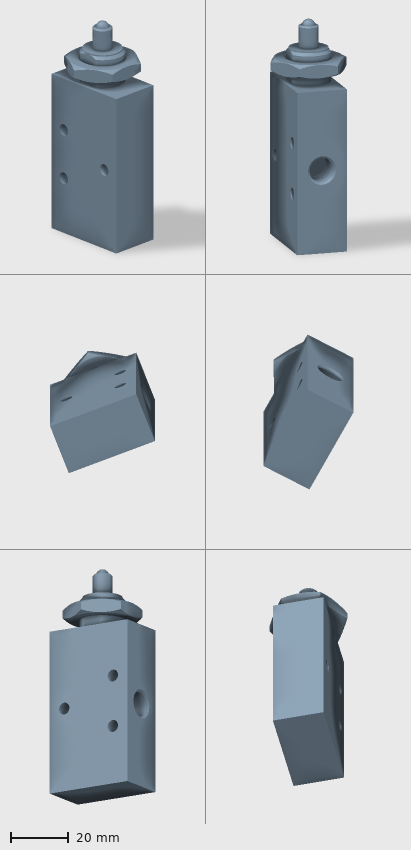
import cadquery as cq
import math

BODY_LENGTH = 32.0
BODY_WIDTH = 18.0
BODY_HEIGHT = 58.0

HOLE_DIAMETER = 4.2
HOLE_OFFSET_X = 10.0
HOLE_OFFSET_Z = 9.0
PORT_HEIGHT = 29.6
PORT_DIAMETER = 8.6
PORT_MOUTH_DIAMETER = 10.2
PORT_CHAMFER = (PORT_MOUTH_DIAMETER - PORT_DIAMETER) / 2
PORT_DEPTH = 10.0

COLLAR_DIAMETER = 16.0
COLLAR_ACROSS_FLATS = 14.0
COLLAR_HEIGHT = 12.0
COLLAR_CHAMFER_HEIGHT = 1.0
COLLAR_RIM_HEIGHT = 0.5
COLLAR_TOP = BODY_HEIGHT + COLLAR_HEIGHT

PLUNGER_DIAMETER = 7.0
PLUNGER_CHAMFER = 0.5
DOME_RADIUS = 2.4
DOME_HEIGHT = 2.0
TOTAL_HEIGHT = 80.0
PLUNGER_TOP = TOTAL_HEIGHT - DOME_HEIGHT

NUT_ACROSS_FLATS = 24.0
HEX_HALF_ANGLE = 30.0
NUT_ACROSS_CORNERS = NUT_ACROSS_FLATS / math.cos(math.radians(HEX_HALF_ANGLE))
NUT_THICKNESS = 5.0
NUT_BOTTOM = 61.5
NUT_FACE_DIAMETER = 23.8
NUT_CHAMFER_ANGLE = 30.0
NUT_MOUTH_DIAMETER = 16.6
NUT_MOUTH_ANGLE = 45.0


def make_block():
    """Plain block with three mounting holes along Y and a blind port along X."""
    block = cq.Workplane("XY").box(BODY_LENGTH, BODY_WIDTH, BODY_HEIGHT, centered=(True, True, False))
    hole_centres = [
        (-HOLE_OFFSET_X, PORT_HEIGHT + HOLE_OFFSET_Z),
        (-HOLE_OFFSET_X, PORT_HEIGHT - HOLE_OFFSET_Z),
        (HOLE_OFFSET_X, PORT_HEIGHT),
    ]
    holes = (
        cq.Workplane("XZ")
        .pushPoints(hole_centres)
        .circle(HOLE_DIAMETER / 2)
        .extrude(BODY_WIDTH / 2, both=True)
    )
    port = (
        cq.Workplane("XZ", origin=(-BODY_LENGTH / 2, 0, PORT_HEIGHT))
        .moveTo(0, 0)
        .lineTo(0, PORT_MOUTH_DIAMETER / 2)
        .lineTo(PORT_CHAMFER, PORT_DIAMETER / 2)
        .lineTo(PORT_DEPTH, PORT_DIAMETER / 2)
        .lineTo(PORT_DEPTH, 0)
        .close()
        .revolve(360, (0, 0, 0), (1, 0, 0))
    )
    return block.cut(holes).cut(port)


def make_collar():
    """Round collar with a chamfer, a thin raised rim and two side flats."""
    rim_radius = COLLAR_ACROSS_FLATS / 2
    rim_bottom = COLLAR_TOP - COLLAR_RIM_HEIGHT
    collar = (
        cq.Workplane("XZ")
        .moveTo(0, BODY_HEIGHT)
        .lineTo(COLLAR_DIAMETER / 2, BODY_HEIGHT)
        .lineTo(COLLAR_DIAMETER / 2, rim_bottom - COLLAR_CHAMFER_HEIGHT)
        .lineTo(rim_radius, rim_bottom)
        .lineTo(rim_radius, COLLAR_TOP)
        .lineTo(0, COLLAR_TOP)
        .close()
        .revolve(360, (0, 0, 0), (0, 1, 0))
    )
    between_flats = (
        cq.Workplane("XY", origin=(0, 0, BODY_HEIGHT))
        .box(COLLAR_DIAMETER, COLLAR_ACROSS_FLATS, COLLAR_HEIGHT, centered=(True, True, False))
    )
    return collar.intersect(between_flats)


def make_plunger():
    """Pin with a chamfered end and a spherical tip."""
    pin = (
        cq.Workplane("XY", origin=(0, 0, COLLAR_TOP))
        .circle(PLUNGER_DIAMETER / 2)
        .extrude(PLUNGER_TOP - COLLAR_TOP)
        .faces(">Z")
        .chamfer(PLUNGER_CHAMFER)
    )
    tip = cq.Workplane("XY", origin=(0, 0, TOTAL_HEIGHT - DOME_RADIUS)).sphere(DOME_RADIUS)
    return pin.union(tip)


def make_nut(collar):
    """Hexagonal nut, chamfered on both faces, with a bore that fits the collar."""
    hexagon = (
        cq.Workplane("XY", origin=(0, 0, NUT_BOTTOM))
        .polygon(6, NUT_ACROSS_CORNERS)
        .extrude(NUT_THICKNESS)
        .rotate((0, 0, 0), (0, 0, 1), HEX_HALF_ANGLE)
    )
    face_radius = NUT_FACE_DIAMETER / 2
    corner_radius = NUT_ACROSS_CORNERS / 2
    drop = (corner_radius - face_radius) * math.tan(math.radians(NUT_CHAMFER_ANGLE))
    nut_top = NUT_BOTTOM + NUT_THICKNESS
    blank = (
        cq.Workplane("XZ")
        .moveTo(0, NUT_BOTTOM)
        .lineTo(face_radius, NUT_BOTTOM)
        .lineTo(corner_radius, NUT_BOTTOM + drop)
        .lineTo(corner_radius, nut_top - drop)
        .lineTo(face_radius, nut_top)
        .lineTo(0, nut_top)
        .close()
        .revolve(360, (0, 0, 0), (0, 1, 0))
    )
    nut = hexagon.intersect(blank).cut(collar)
    mouth_radius = NUT_MOUTH_DIAMETER / 2
    cone_depth = mouth_radius / math.tan(math.radians(NUT_MOUTH_ANGLE))
    for mouth_height, inward in ((nut_top, -1), (NUT_BOTTOM, 1)):
        countersink = cq.Solid.makeCone(
            mouth_radius, 0, cone_depth, cq.Vector(0, 0, mouth_height), cq.Vector(0, 0, inward)
        )
        nut = nut.cut(cq.Workplane(countersink))
    return nut


collar = make_collar()
valve = make_block().union(collar).union(make_plunger())
nut = make_nut(collar)

result = cq.Compound.makeCompound([valve.solids().val(), nut.solids().val()])